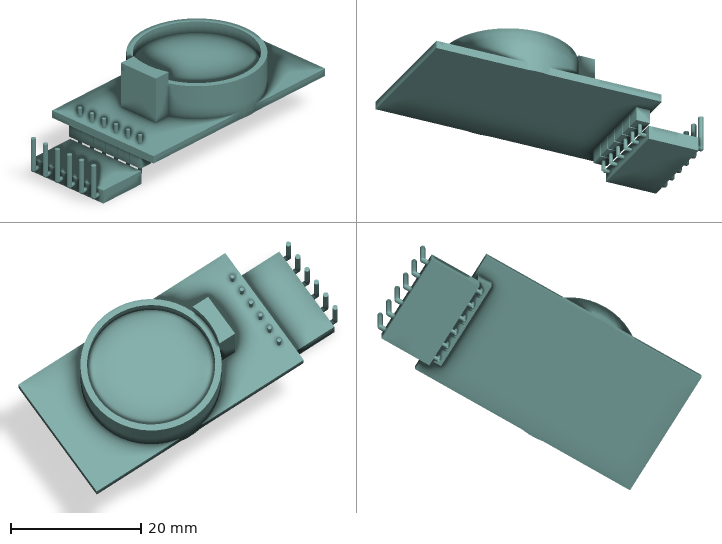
import cadquery as cq


total_length = 47.7
total_height = 14.1

board_width = 21.35
board_length = 38.5
board_thickness = 1.3
board_front_y = total_length - board_length

holder_diameter = 21.7
holder_bore_diameter = 19.7
holder_center_y = 30.3
holder_height = 5.75
holder_bore_depth = 2.0
holder_top_z = board_thickness + holder_height
holder_floor_z = holder_top_z - holder_bore_depth

block_width = 7.35
block_front_y = 17.15
block_rise = 2.0
block_top_z = holder_top_z + block_rise

pin_count = 6
header_width = 15.03
spacer_side = 2.35
pin_pitch = (header_width - spacer_side) / (pin_count - 1)
pin_xs = [(i - (pin_count - 1) / 2) * pin_pitch for i in range(pin_count)]

spacer_height = 2.3

header_height = 2.3
header_length = 8.55
header_front_y = 1.35
header_back_y = header_front_y + header_length
header_bottom_z = block_top_z - total_height
header_axis_z = header_bottom_z + header_height / 2

tail_diameter = 0.6
tail_y = 10.85
tail_protrusion = 1.5
tail_top_z = board_thickness + tail_protrusion
contact_diameter = 0.8
contact_y = contact_diameter / 2
contact_top_z = 1.57


def box(width, y_min, y_max, z_min, z_max, center_x=0):
    """Block centred on center_x that spans the given Y and Z ranges."""
    base = cq.Workplane("XY", origin=(center_x, y_min, z_min))
    return base.box(width, y_max - y_min, z_max - z_min, centered=(True, False, False))


def upright_cylinder(diameter, x, y, z_min, z_max):
    """Cylinder along Z between the two heights."""
    return cq.Workplane("XY", origin=(x, y, z_min)).circle(diameter / 2).extrude(z_max - z_min)


def make_board():
    """Board with the battery holder, the contact block and a hole for each pin tail."""
    board = box(board_width, board_front_y, board_front_y + board_length, 0, board_thickness)

    holder = upright_cylinder(holder_diameter, 0, holder_center_y, 0, holder_top_z)
    block = box(block_width, block_front_y, holder_center_y, board_thickness, block_top_z)
    block = block.cut(upright_cylinder(holder_diameter, 0, holder_center_y, 0, block_top_z))
    board = board.union(holder).union(block)

    board = board.cut(upright_cylinder(holder_bore_diameter, 0, holder_center_y, holder_floor_z, holder_top_z))
    for x in pin_xs:
        board = board.cut(upright_cylinder(tail_diameter, x, tail_y, 0, board_thickness))
    return board


def make_bent_wire(diameter, x, start_y, bend_y, top_z):
    """Wire at x that runs level along the header axis, turns at a ball-shaped bend and rises to top_z."""
    path = cq.Workplane("YZ", origin=(x, 0, 0)).moveTo(start_y, header_axis_z)
    path = path.lineTo(bend_y, header_axis_z).lineTo(bend_y, top_z)
    profile = cq.Workplane("XZ", origin=(x, start_y, header_axis_z)).circle(diameter / 2)
    return profile.sweep(path, transition="round")


def make_tail(x):
    """Thin end of the pin at x: out of the header's back with a rounded bend, up through the board."""
    return make_bent_wire(tail_diameter, x, header_back_y, tail_y, tail_top_z)


def make_contact(x):
    """Thick end of the pin at x: out of the header's front with a rounded bend, then upright."""
    return make_bent_wire(contact_diameter, x, header_front_y, contact_y, contact_top_z)


def make_header():
    """Header bar with its bent pins and the spacer around each tail."""
    header = box(header_width, header_front_y, header_back_y, header_bottom_z, header_bottom_z + header_height)
    for x in pin_xs:
        spacer = box(spacer_side, tail_y - spacer_side / 2, tail_y + spacer_side / 2, -spacer_height, 0, x)
        header = header.union(make_tail(x).union(spacer))
        header = header.union(make_contact(x))
    return header


board = make_board()
header = make_header()
result = cq.Compound.makeCompound([board.val(), header.val()])